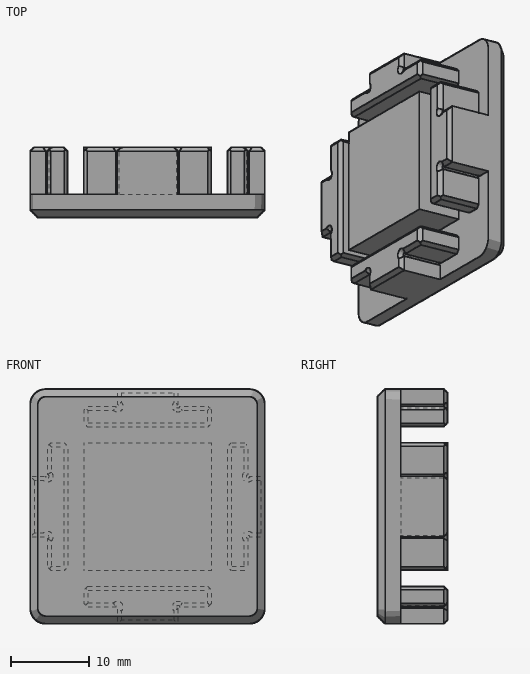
import cadquery as cq


cover_side = 30.0
cover_thickness = 3.0
corner_radius = 2.0
cover_bevel = 1.0

clip_length = 6.0
clip_count = 4
stem_width = 7.75
flange_width = 16.3
flange_outer = 12.8
flange_inner = 10.2
end_chamfer = 0.5
corner_chamfer = 0.45
relief_radius = 0.2
core_side = flange_width


def xz_plane(y):
    """Sketch plane at distance y with its normal along +Y and local x, y along -X, +Z."""
    return cq.Workplane(cq.Plane(origin=(0, y, 0), xDir=(-1, 0, 0), normal=(0, 1, 0)))


def make_cover():
    slab = xz_plane(0).rect(cover_side, cover_side).extrude(cover_thickness)
    rounded = slab.edges("|Y").fillet(corner_radius)
    return rounded.faces("<Y").edges().chamfer(cover_bevel)


def clip_bar(width, bottom, top):
    """Straight bar behind the cover, centred on X = 0 and reaching from bottom to top in Z."""
    return (
        xz_plane(cover_thickness)
        .center(0, (bottom + top) / 2)
        .rect(width, top - bottom)
        .extrude(clip_length)
    )


def make_clip():
    """T-shaped clip on the +Z side, its stem flush with the side of the cover."""
    flange = clip_bar(flange_width, flange_inner, flange_outer)
    stem = clip_bar(stem_width, flange_inner, cover_side / 2)
    reliefs = (
        xz_plane(cover_thickness)
        .pushPoints([(side * stem_width / 2, flange_outer) for side in (-1, 1)])
        .circle(relief_radius)
        .extrude(clip_length)
    )
    clip = flange.union(stem).cut(reliefs)

    clip = clip.faces(">Y").edges().chamfer(end_chamfer)
    flange_ends = clip.faces("<X or >X")
    return flange_ends.edges("|Y").chamfer(corner_chamfer)


def make_core():
    return xz_plane(cover_thickness).rect(core_side, core_side).extrude(clip_length)


result = make_cover().union(make_core())
clip = make_clip()
for index in range(clip_count):
    turn = index * 360 / clip_count
    result = result.union(clip.rotate((0, 0, 0), (0, 1, 0), turn))